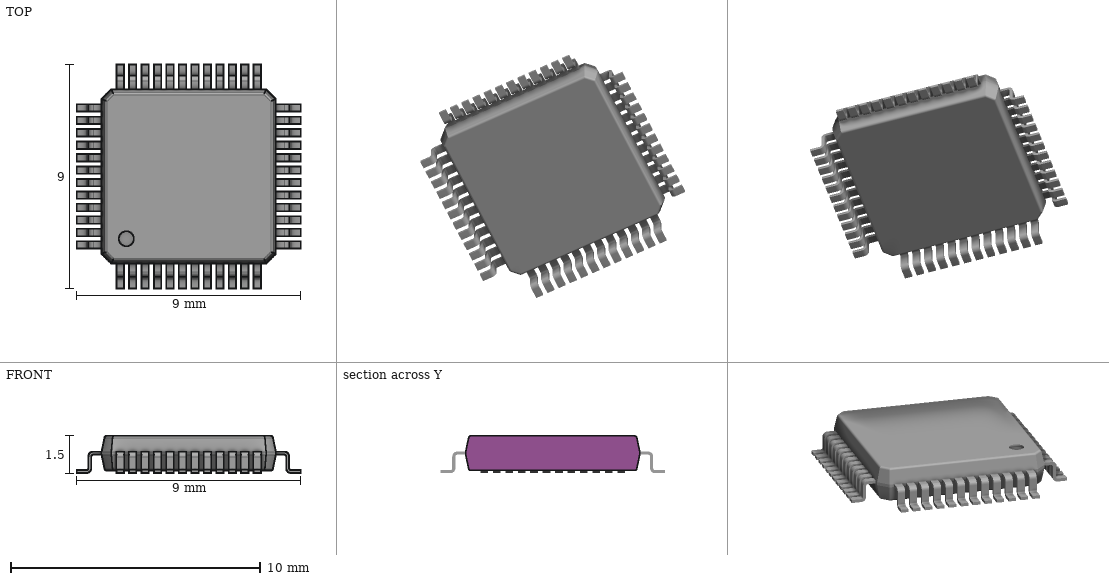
import cadquery as cq
import math

lead_span = 9.0
total_height = 1.5
standoff = 0.1

body_width = 7.0
corner_chamfer = 0.4
wall_inset = 0.135
edge_fillet = 0.1

leads_per_side = 12
lead_row_length = 5.5
lead_pitch = lead_row_length / (leads_per_side - 1)
lead_width = 0.31
lead_thickness = 0.13
lead_inner_radius = 0.07
lead_outer_radius = lead_inner_radius + lead_thickness
lead_post_inset = 0.47
lead_root_depth = 0.09

marker_diameter = 0.6
marker_offset = 2.5
marker_depth = 0.1

band_middle = (standoff + total_height) / 2
band_bottom = band_middle - lead_thickness / 2
band_top = band_middle + lead_thickness / 2


def chamfered_square():
    """Sketch of the body outline at the widest band."""
    return cq.Sketch().rect(body_width, body_width).vertices().chamfer(corner_chamfer)


def make_body_half():
    """Upper sloped part of the body, standing on the XY plane."""
    slope_height = total_height - band_top
    draft = math.degrees(math.atan(wall_inset / slope_height))
    half = cq.Workplane("XY").placeSketch(chamfered_square()).extrude(slope_height, taper=draft)
    return half.faces(">Z").edges().fillet(edge_fillet)


def make_body():
    half = make_body_half()
    upper = half.translate((0, 0, band_top))
    lower = half.mirror("XY").translate((0, 0, band_bottom))
    band = cq.Workplane("XY", origin=(0, 0, band_bottom)).placeSketch(chamfered_square())
    return band.extrude(lead_thickness).union(upper).union(lower)


def make_lead():
    """Gull-wing lead on the +X side, centred on Y = 0."""
    tip = lead_span / 2
    root = body_width / 2 - lead_root_depth
    post_outer = tip - lead_post_inset
    post_inner = post_outer - lead_thickness
    lower_bend = post_inner + lead_outer_radius
    upper_bend = post_outer - lead_outer_radius
    profile = (
        cq.Workplane("XZ")
        .moveTo(tip, 0)
        .lineTo(tip, lead_thickness)
        .lineTo(lower_bend, lead_thickness)
        .radiusArc((post_outer, lead_outer_radius), lead_inner_radius)
        .lineTo(post_outer, band_top - lead_outer_radius)
        .radiusArc((upper_bend, band_top), -lead_outer_radius)
        .lineTo(root, band_top)
        .lineTo(root, band_bottom)
        .lineTo(upper_bend, band_bottom)
        .radiusArc((post_inner, band_top - lead_outer_radius), lead_inner_radius)
        .lineTo(post_inner, lead_outer_radius)
        .radiusArc((lower_bend, 0), -lead_outer_radius)
        .close()
    )
    return profile.extrude(lead_width / 2, both=True)


def make_lead_row():
    """All the leads of the +X side."""
    row = cq.Workplane("XY").rarray(lead_pitch, lead_pitch, 1, leads_per_side)
    return row.eachpoint(make_lead().val())


def make_marker():
    """Shallow round recess beside pin 1."""
    floor = (-marker_offset, -marker_offset, total_height - marker_depth)
    return cq.Workplane("XY", origin=floor).circle(marker_diameter / 2).extrude(marker_depth)


result = make_body().cut(make_marker())

lead_row = make_lead_row()
for side_angle in (0, 90, 180, 270):
    result = result.union(lead_row.rotate((0, 0, 0), (0, 0, 1), side_angle))